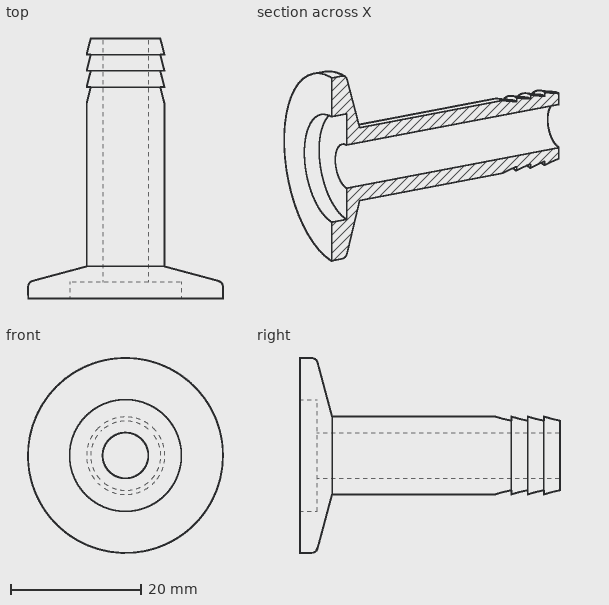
import cadquery as cq
import math

length = 40.0
flange_radius = 15.0
tube_radius = 6.0
bore_radius = 3.5
recess_radius = 8.6
recess_depth = 2.6
cone_end = 4.95
taper_angle = 15.0
rim_fillet = 1.0
barb_count = 4
barb_pitch = 2.5
barb_tip_radius = 5.35

rim_height = cone_end - (flange_radius - tube_radius) * math.tan(math.radians(taper_angle))
barbs_start = length - barb_count * barb_pitch


def turned(points):
    """Revolve a closed (radius, Y) outline about the Y axis."""
    return cq.Workplane("XY").polyline(points).close().revolve(360, (0, 0, 0), (0, 1, 0))


def make_flange():
    """Flange with a conical back and a rounded outer rim."""
    flange = turned([
        (0, 0),
        (flange_radius, 0),
        (flange_radius, rim_height),
        (tube_radius, cone_end),
        (0, cone_end),
    ])
    rim_edge = cq.selectors.BoxSelector(
        (-2 * flange_radius, rim_height / 2, -2 * flange_radius),
        (2 * flange_radius, (rim_height + cone_end) / 2, 2 * flange_radius),
    )
    return flange.edges(rim_edge).fillet(rim_fillet)


def make_hose_tail():
    """Plain tube followed by barbs that narrow toward the free end."""
    outline = [(0, 0), (tube_radius, 0)]
    for index in range(barb_count):
        barb_base = barbs_start + index * barb_pitch
        outline.append((tube_radius, barb_base))
        outline.append((barb_tip_radius, barb_base + barb_pitch))
    outline.append((0, length))
    return turned(outline)


def cylinder_along_y(radius, height):
    """Solid cylinder rising from the flange face."""
    return turned([(0, 0), (radius, 0), (radius, height), (0, height)])


body = make_flange().union(make_hose_tail())
bore = cylinder_along_y(bore_radius, length)
recess = cylinder_along_y(recess_radius, recess_depth)
result = body.cut(bore).cut(recess)